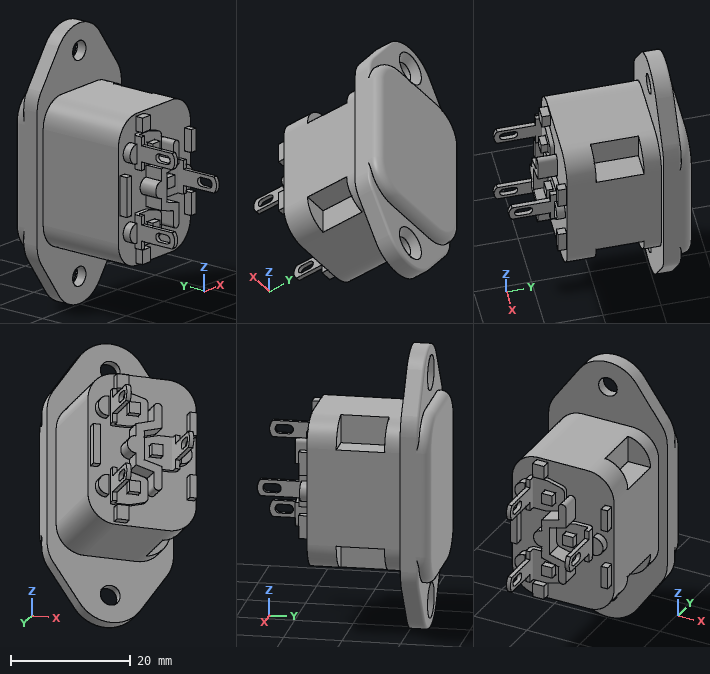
import cadquery as cq
import math


TOTAL_HEIGHT = 49.7
FLANGE_WIDTH = 22.5
FLANGE_THICKNESS = 3.15
TIP_ROUND = 6.65
SHOULDER_ROUND = 5.95
SLOPE_ANGLE = 55.0
FLANGE_EDGE_FILLET = 0.45
SCREW_HOLE_DIAMETER = 3.5
SCREW_HOLE_Z = 20.0
COUNTERSINK_DIAMETER = 6.05
COUNTERSINK_ANGLE = 90.0

BEZEL_HEIGHT = 30.1
BEZEL_CORNER = SHOULDER_ROUND
BEZEL_FILLET = 1.5
BEZEL_FRONT_Y = 5.1

BODY_WIDTH = 19.3
BODY_HEIGHT = 26.9
BODY_CORNER = 4.95
BODY_LENGTH = 16.25
REAR_Y = -BODY_LENGTH

NOTCH_X = 5.35
NOTCH_START = 3.0
NOTCH_LENGTH = 8.25

SPACER_HEIGHT = 1.5
SIDE_SPACER_X = 8.6
SIDE_SPACER_WIDTH = 1.25
LEFT_SPACER_LENGTH = 7.05
RIGHT_SPACER_LENGTH = 4.1
RIGHT_SPACER_Z = 5.55
END_SPACER_WIDTH = 2.15
END_SPACER_LENGTH = 2.6
END_SPACER_X = -3.95
END_SPACER_Z = 11.7
STOP_RADIUS = 1.75
STOP_CENTER_X = 6.6
STOP_FLAT_X = 6.45

BARRIER_HEIGHT = 3.4
BARRIER_TIP_Z = 7.75
BARRIER_ARM_INNER_X = 0.9
BARRIER_ARM_OUTER_X = 2.35
BARRIER_WEB_LEFT_X = -2.3
BARRIER_WEB_RIGHT_X = -0.8
BARRIER_LEFT_ARM_Z = 4.55
BARRIER_LEFT_WEB_Z = 3.7
BARRIER_RIGHT_ARM_Z = 3.45
BARRIER_RIGHT_WEB_Z = 2.6
BOSS_RADIUS = 1.55

TERMINAL_SPACING = 7.0
SHEET = 0.8
LEG_OUTER_X = 5.95
PLATE_GAP = 0.1
PLATE_HALF_WIDTH = 3.0
PLATE_TAPER_X = 2.6
PLATE_END_X = -0.75
PLATE_TAPER_ANGLE = 15.0
PLATE_CORNER = 1.0
BEND_INNER = 0.15
LEG_DEPTH = 2.05
TAB_HALF_WIDTH = 1.45
TAB_END_Y = -25.45
TAB_TIP_RISE = 0.55
SLOT_LENGTH = 3.1
SLOT_WIDTH = 1.55
SLOT_CENTER_Y = -22.9

PIN_SIZE = 2.0
PIN_X = 2.0
PIN_HEIGHT = 2.05
PIN_CLEARANCE = 0.05


def slab(width, height, y_start, y_end, x=0.0, z=0.0):
    """A rectangular block between two Y planes, centred on (x, z)."""
    return (
        cq.Workplane("XZ", origin=(0, y_start, 0))
        .center(x, z)
        .rect(width, height)
        .extrude(y_start - y_end)
    )


def point_on_round(center, radius, angle):
    """Point on a circle, with the angle in degrees measured from +X toward +Z."""
    radians = math.radians(angle)
    return (center[0] + radius * math.cos(radians), center[1] + radius * math.sin(radians))


def make_flange():
    normal_angle = 90 - SLOPE_ANGLE
    normal_x = math.cos(math.radians(normal_angle))
    normal_z = math.sin(math.radians(normal_angle))
    tip_center = (0, TOTAL_HEIGHT / 2 - TIP_ROUND)
    shoulder_x = FLANGE_WIDTH / 2 - SHOULDER_ROUND
    edge_distance = tip_center[1] * normal_z + TIP_ROUND
    shoulder_z = (edge_distance - SHOULDER_ROUND - shoulder_x * normal_x) / normal_z
    shoulder_center = (shoulder_x, shoulder_z)

    shoulder_mid_x, shoulder_mid_z = point_on_round(shoulder_center, SHOULDER_ROUND, normal_angle / 2)
    shoulder_end_x, shoulder_end_z = point_on_round(shoulder_center, SHOULDER_ROUND, normal_angle)
    tip_start_x, tip_start_z = point_on_round(tip_center, TIP_ROUND, normal_angle)
    return (
        cq.Workplane("XZ")
        .moveTo(FLANGE_WIDTH / 2, 0)
        .lineTo(FLANGE_WIDTH / 2, shoulder_z)
        .threePointArc((shoulder_mid_x, shoulder_mid_z), (shoulder_end_x, shoulder_end_z))
        .lineTo(tip_start_x, tip_start_z)
        .threePointArc((0, TOTAL_HEIGHT / 2), (-tip_start_x, tip_start_z))
        .lineTo(-shoulder_end_x, shoulder_end_z)
        .threePointArc((-shoulder_mid_x, shoulder_mid_z), (-FLANGE_WIDTH / 2, shoulder_z))
        .lineTo(-FLANGE_WIDTH / 2, 0)
        .mirrorX()
        .extrude(-FLANGE_THICKNESS)
        .faces(">Y")
        .edges()
        .fillet(FLANGE_EDGE_FILLET)
        .faces(">Y")
        .workplane(origin=(0, FLANGE_THICKNESS, 0))
        .pushPoints([(0, SCREW_HOLE_Z), (0, -SCREW_HOLE_Z)])
        .cskHole(SCREW_HOLE_DIAMETER, COUNTERSINK_DIAMETER, COUNTERSINK_ANGLE)
    )


def make_bezel():
    return (
        slab(FLANGE_WIDTH, BEZEL_HEIGHT, 0, BEZEL_FRONT_Y)
        .edges("|Y")
        .fillet(BEZEL_CORNER)
        .faces(">Y")
        .edges()
        .fillet(BEZEL_FILLET)
    )


def make_body():
    body = slab(BODY_WIDTH, BODY_HEIGHT, 0, REAR_Y).edges("|Y").fillet(BODY_CORNER)
    notch_width = BODY_WIDTH / 2 - NOTCH_X
    for side in (1, -1):
        notch = slab(
            notch_width,
            BODY_CORNER,
            -NOTCH_START,
            -NOTCH_START - NOTCH_LENGTH,
            x=NOTCH_X + notch_width / 2,
            z=side * (BODY_HEIGHT - BODY_CORNER) / 2,
        )
        body = body.cut(notch)
    return body


def make_spacers():
    spacer_end_y = REAR_Y - SPACER_HEIGHT
    spacers = slab(SIDE_SPACER_WIDTH, LEFT_SPACER_LENGTH, REAR_Y, spacer_end_y, x=-SIDE_SPACER_X)
    for side in (1, -1):
        right_spacer = slab(
            SIDE_SPACER_WIDTH,
            RIGHT_SPACER_LENGTH,
            REAR_Y,
            spacer_end_y,
            x=SIDE_SPACER_X,
            z=side * RIGHT_SPACER_Z,
        )
        end_spacer = slab(
            END_SPACER_WIDTH,
            END_SPACER_LENGTH,
            REAR_Y,
            spacer_end_y,
            x=END_SPACER_X,
            z=side * END_SPACER_Z,
        )
        spacers = spacers.add(right_spacer).add(end_spacer)
    return spacers.combine()


def make_stop():
    """Half-round stop outside the leg of the +X terminal."""
    flat_half_height = math.sqrt(STOP_RADIUS**2 - (STOP_CENTER_X - STOP_FLAT_X) ** 2)
    return (
        cq.Workplane("XZ", origin=(0, REAR_Y, 0))
        .moveTo(STOP_FLAT_X, -flat_half_height)
        .threePointArc((STOP_CENTER_X + STOP_RADIUS, 0), (STOP_FLAT_X, flat_half_height))
        .close()
        .extrude(SPACER_HEIGHT)
    )


def make_barrier():
    tip_radius = (BARRIER_ARM_OUTER_X - BARRIER_ARM_INNER_X) / 2
    tip_x = BARRIER_ARM_INNER_X + tip_radius
    tip_start_z = BARRIER_TIP_Z - tip_radius
    return (
        cq.Workplane("XZ", origin=(0, REAR_Y, 0))
        .moveTo(BARRIER_ARM_INNER_X, tip_start_z)
        .threePointArc((tip_x, BARRIER_TIP_Z), (BARRIER_ARM_OUTER_X, tip_start_z))
        .lineTo(BARRIER_ARM_OUTER_X, BARRIER_RIGHT_ARM_Z)
        .lineTo(BARRIER_WEB_RIGHT_X, BARRIER_RIGHT_WEB_Z)
        .lineTo(BARRIER_WEB_RIGHT_X, -BARRIER_RIGHT_WEB_Z)
        .lineTo(BARRIER_ARM_OUTER_X, -BARRIER_RIGHT_ARM_Z)
        .lineTo(BARRIER_ARM_OUTER_X, -tip_start_z)
        .threePointArc((tip_x, -BARRIER_TIP_Z), (BARRIER_ARM_INNER_X, -tip_start_z))
        .lineTo(BARRIER_ARM_INNER_X, -BARRIER_LEFT_ARM_Z)
        .lineTo(BARRIER_WEB_LEFT_X, -BARRIER_LEFT_WEB_Z)
        .lineTo(BARRIER_WEB_LEFT_X, -BOSS_RADIUS)
        .threePointArc((BARRIER_WEB_LEFT_X - BOSS_RADIUS, 0), (BARRIER_WEB_LEFT_X, BOSS_RADIUS))
        .lineTo(BARRIER_WEB_LEFT_X, BARRIER_LEFT_WEB_Z)
        .lineTo(BARRIER_ARM_INNER_X, BARRIER_LEFT_ARM_Z)
        .close()
        .extrude(BARRIER_HEIGHT)
    )


def make_terminal():
    """Terminal on the +X side with its leg at LEG_OUTER_X, centred on Z = 0."""
    taper_drop = (PLATE_TAPER_X - PLATE_END_X) * math.tan(math.radians(PLATE_TAPER_ANGLE))
    end_half_width = PLATE_HALF_WIDTH - taper_drop
    plate_y = REAR_Y - PLATE_GAP
    plate = (
        cq.Workplane("XZ", origin=(0, plate_y, 0))
        .moveTo(LEG_OUTER_X, PLATE_HALF_WIDTH)
        .lineTo(PLATE_TAPER_X, PLATE_HALF_WIDTH)
        .lineTo(PLATE_END_X, end_half_width)
        .lineTo(PLATE_END_X, -end_half_width)
        .lineTo(PLATE_TAPER_X, -PLATE_HALF_WIDTH)
        .lineTo(LEG_OUTER_X, -PLATE_HALF_WIDTH)
        .close()
        .extrude(SHEET)
        .edges("|Y and <X")
        .fillet(PLATE_CORNER)
    )

    leg_inner_x = LEG_OUTER_X - SHEET
    leg_end_y = REAR_Y - LEG_DEPTH
    leg = slab(SHEET, 2 * PLATE_HALF_WIDTH, plate_y, leg_end_y, x=leg_inner_x + SHEET / 2)
    bent_sheet = (
        plate.union(leg)
        .edges(cq.selectors.NearestToPointSelector((leg_inner_x, plate_y - SHEET, 0)))
        .fillet(BEND_INNER)
        .edges(cq.selectors.NearestToPointSelector((LEG_OUTER_X, plate_y, 0)))
        .fillet(BEND_INNER + SHEET)
    )

    tab_corner_y = TAB_END_Y + TAB_TIP_RISE
    tab = (
        cq.Workplane("XY")
        .transformed(offset=(leg_inner_x, 0, 0), rotate=(0, -90, 0))
        .moveTo(TAB_HALF_WIDTH, leg_end_y)
        .lineTo(TAB_HALF_WIDTH, tab_corner_y)
        .threePointArc((0, TAB_END_Y), (-TAB_HALF_WIDTH, tab_corner_y))
        .lineTo(-TAB_HALF_WIDTH, leg_end_y)
        .close()
        .moveTo(0, SLOT_CENTER_Y)
        .slot2D(SLOT_LENGTH, SLOT_WIDTH, 90)
        .extrude(-SHEET)
    )

    opening = PIN_SIZE + 2 * PIN_CLEARANCE
    pin_opening = slab(opening, opening, plate_y, plate_y - SHEET, x=PIN_X)
    return bent_sheet.union(tab).cut(pin_opening)


def make_pin():
    """Square pin end that passes through the plate of the +X terminal."""
    return slab(PIN_SIZE, PIN_SIZE, REAR_Y, REAR_Y - PIN_HEIGHT, x=PIN_X)


def at_contacts(shape):
    """Copies of a +X side shape at the three contacts: one at +X, two turned to -X."""
    turned = shape.rotate((0, 0, 0), (0, 1, 0), 180)
    return [
        shape,
        turned.translate((0, 0, TERMINAL_SPACING)),
        turned.translate((0, 0, -TERMINAL_SPACING)),
    ]


housing = (
    make_flange()
    .union(make_bezel())
    .union(make_body())
    .union(make_spacers())
    .union(make_barrier())
)
for stop in at_contacts(make_stop()):
    housing = housing.union(stop)

pin = make_pin()
terminal = make_terminal()
pins = [copy.val() for copy in at_contacts(pin)]
terminals = [copy.val() for copy in at_contacts(terminal)]

result = cq.Compound.makeCompound([housing.val(), *terminals, *pins])